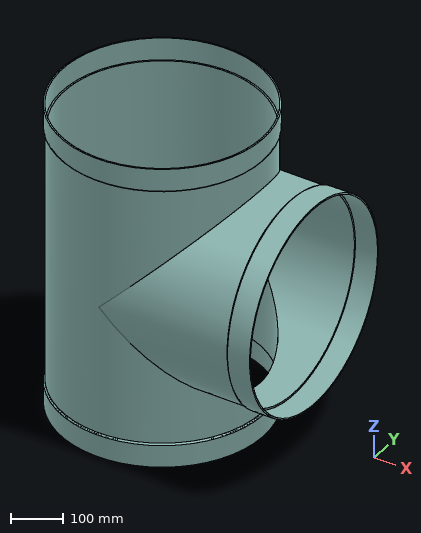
import cadquery as cq

run_length = 686.0
branch_reach = 345.0
bore_diameter = 442.5
pipe_diameter = 450.0
collar_diameter = 457.0
socket_depth = 50.0

half_run = run_length / 2
bevel = (collar_diameter - pipe_diameter) / 2

top_end = cq.Plane(origin=(0, 0, half_run), xDir=(1, 0, 0), normal=(0, 0, 1))
bottom_end = cq.Plane(origin=(0, 0, -half_run), xDir=(1, 0, 0), normal=(0, 0, -1))
branch_end = cq.Plane(origin=(branch_reach, 0, 0), xDir=(0, 1, 0), normal=(1, 0, 0))


def cylinder_from(end, diameter, length):
    """Cylinder reaching inward from an open end."""
    return cq.Workplane(end).circle(diameter / 2).extrude(-length)


def collar(end):
    """Solid collar whose inner edge is bevelled down to the pipe surface."""
    straight = cylinder_from(end, collar_diameter, socket_depth)
    shoulder = (
        cq.Workplane(end)
        .workplane(offset=-socket_depth)
        .circle(collar_diameter / 2)
        .workplane(offset=-bevel)
        .circle(pipe_diameter / 2)
        .loft(ruled=True)
    )
    return straight.union(shoulder)


body = cylinder_from(top_end, pipe_diameter, run_length)
body = body.union(cylinder_from(branch_end, pipe_diameter, branch_reach))

for end in (top_end, bottom_end, branch_end):
    body = body.union(collar(end))

body = body.cut(cylinder_from(top_end, bore_diameter, run_length))
body = body.cut(cylinder_from(branch_end, bore_diameter, branch_reach))

for end in (top_end, bottom_end, branch_end):
    body = body.cut(cylinder_from(end, pipe_diameter, socket_depth))

result = body